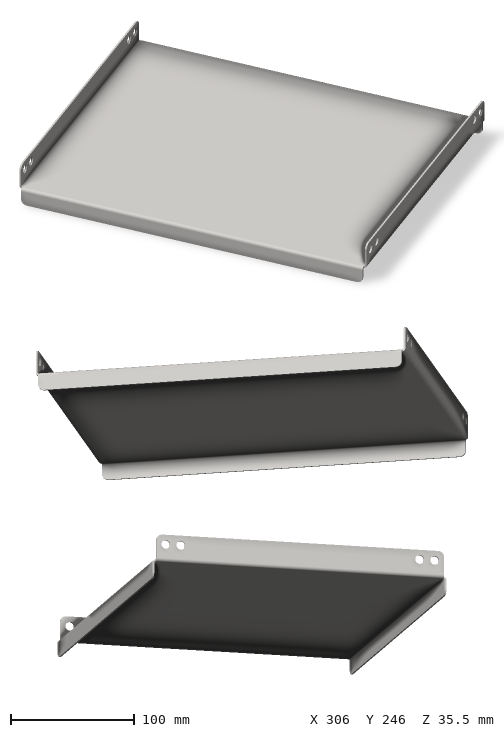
import cadquery as cq

length_x = 306.0
width_y = 246.0
sheet = 1.5
inner_bend_radius = 1.0
outer_bend_radius = inner_bend_radius + sheet

side_flange_height = 22.0
end_flange_height = 15.0
flange_corner_radius = 5.0

hole_diameter = 7.2
hole_edge_distance = 8.0
hole_pitch = 12.5

floor_x = length_x - 2 * outer_bend_radius
floor_y = width_y - 2 * outer_bend_radius

outer_hole_y = floor_y / 2 - hole_edge_distance
inner_hole_y = outer_hole_y - hole_pitch
hole_height = side_flange_height - hole_edge_distance


def flange_profile(workplane, edge, height):
    """Closed section of a bend and its upright leg, starting at the floor edge."""
    outer = edge + outer_bend_radius
    inner = outer - sheet
    return (
        workplane.moveTo(edge, 0)
        .radiusArc((outer, outer_bend_radius), -outer_bend_radius)
        .lineTo(outer, height)
        .lineTo(inner, height)
        .lineTo(inner, outer_bend_radius)
        .radiusArc((edge, sheet), inner_bend_radius)
        .close()
    )


def make_floor():
    return cq.Workplane("XY").box(floor_x, floor_y, sheet, centered=(True, True, False))


def make_side_flange():
    """Upward flange on the +X side, with rounded top corners and mounting holes."""
    section = flange_profile(cq.Workplane("XZ"), floor_x / 2, side_flange_height)
    flange = section.extrude(floor_y / 2, both=True)
    flange = flange.faces(">Z").edges("|X").fillet(flange_corner_radius)
    hole_centers = [(side * y, hole_height) for side in (-1, 1) for y in (inner_hole_y, outer_hole_y)]
    holes = (
        cq.Workplane("YZ")
        .pushPoints(hole_centers)
        .circle(hole_diameter / 2)
        .extrude(length_x)
    )
    return flange.cut(holes)


def make_end_flange():
    """Downward flange on the +Y side, with rounded bottom corners."""
    section = flange_profile(cq.Workplane("YZ"), floor_y / 2, end_flange_height)
    flange = section.extrude(floor_x / 2, both=True)
    flange = flange.faces(">Z").edges("|Y").fillet(flange_corner_radius)
    return flange.mirror("XY", (0, 0, sheet / 2))


side_flange = make_side_flange()
end_flange = make_end_flange()

result = (
    make_floor()
    .union(side_flange)
    .union(side_flange.mirror("YZ"))
    .union(end_flange)
    .union(end_flange.mirror("XZ"))
)